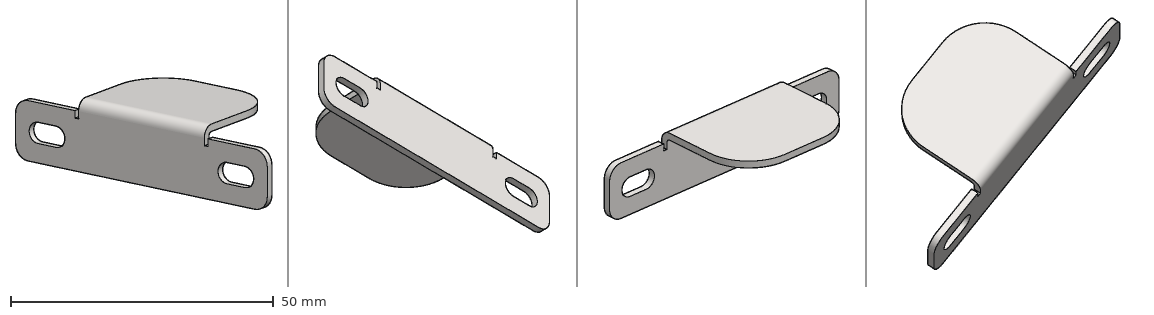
import cadquery as cq

thickness = 1.5
bend_outer_radius = 2.3
bend_inner_radius = bend_outer_radius - thickness

plate_length = 60.0
plate_height = 12.0
plate_corner_radius = 3.0

tab_width = 30.0
tab_depth = 23.5
tab_corner_radius = 10.0
total_height = plate_height + bend_outer_radius

relief_width = 0.85
relief_depth = 1.5

slot_length = 8.45
slot_height = 4.2
slot_spacing = 45.0


def make_plate():
    """Rounded upright plate with relief notches and two mounting slots."""
    plate = (
        cq.Workplane("XY")
        .box(plate_length, thickness, plate_height, centered=(True, False, False))
        .edges("|Y")
        .fillet(plate_corner_radius)
    )
    for side in (-1, 1):
        relief = cq.Workplane("XY").box(relief_width, thickness, relief_depth, centered=(True, False, False))
        relief_x = side * (tab_width + relief_width) / 2
        plate = plate.cut(relief.translate((relief_x, 0, plate_height - relief_depth)))

        slot = cq.Workplane("XZ").slot2D(slot_length, slot_height).extrude(-thickness)
        plate = plate.cut(slot.translate((side * slot_spacing / 2, 0, plate_height / 2)))
    return plate


def make_tab():
    """Quarter-round bend and the flat tab behind it, rounded at its free corners."""
    tab = (
        cq.Workplane("YZ")
        .moveTo(0, plate_height)
        .radiusArc((bend_outer_radius, total_height), bend_outer_radius)
        .lineTo(tab_depth, total_height)
        .lineTo(tab_depth, total_height - thickness)
        .lineTo(bend_outer_radius, total_height - thickness)
        .radiusArc((thickness, plate_height), -bend_inner_radius)
        .close()
        .extrude(tab_width / 2, both=True)
    )
    return tab.faces(">Y").edges("|Z").fillet(tab_corner_radius)


result = make_plate().union(make_tab())